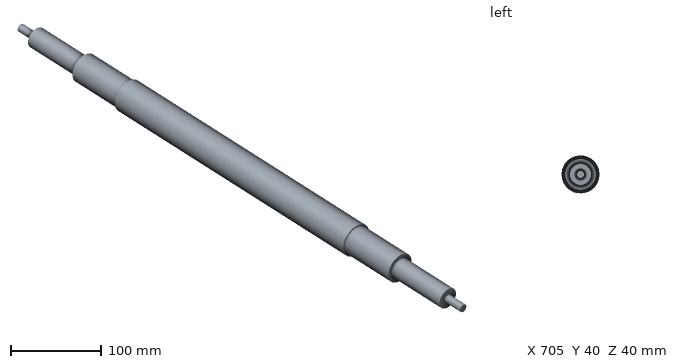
import cadquery as cq

total_length = 705.0
body_diameter = 40.0

steps = [
    (0.0, 10.0),
    (25.0, 25.5),
    (101.0, 36.0),
    (170.5, body_diameter),
]


def centred_cylinder(end_distance, diameter):
    """Cylinder along X whose faces lie end_distance inside both shaft ends."""
    length = total_length - 2 * end_distance
    face_plane = cq.Workplane("YZ", origin=(-length / 2, 0, 0))
    return face_plane.circle(diameter / 2).extrude(length)


result = centred_cylinder(*steps[0])
for end_distance, diameter in steps[1:]:
    result = result.union(centred_cylinder(end_distance, diameter))